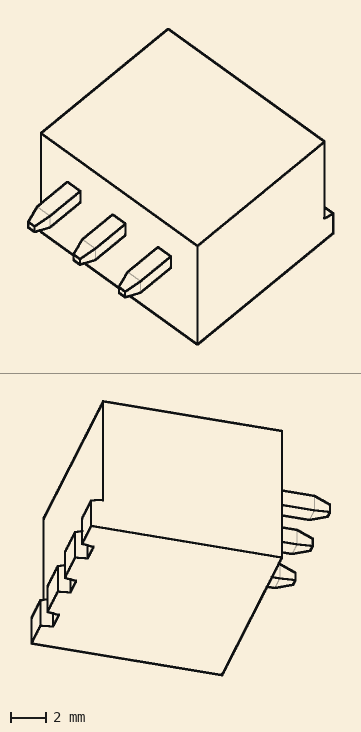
import cadquery as cq

housing_width = 12.1
housing_height = 8.7
housing_depth = 10.5

lip_length = 0.7
lip_root_height = 1.93
lip_edge_height = 1.75

pin_count = 3
pin_pitch = 3.5
pin_size = 1.0
pin_tip_size = pin_size / 2
pin_length = 3.5
pin_taper_length = 1.0
pin_shank_length = pin_length - pin_taper_length
pin_height = 5.6

notch_root_width = 1.18
notch_mouth_width = 1.41

middle_pin = pin_count // 2
pin_positions = [(i - middle_pin) * pin_pitch for i in range(pin_count)]
middle_pin_x = pin_positions[middle_pin]
outer_pin_positions = [x for x in pin_positions if x != middle_pin_x]


def make_pin(x):
    """Square pin that stands on the pin face and points along -Y."""
    pin_face = cq.Workplane("XZ", origin=(x, 0, pin_height))
    return (
        pin_face.rect(pin_size, pin_size)
        .extrude(pin_shank_length)
        .faces("<Y")
        .workplane()
        .rect(pin_size, pin_size)
        .workplane(offset=pin_taper_length)
        .rect(pin_tip_size, pin_tip_size)
        .loft(ruled=True)
    )


def make_notch(x):
    """Cutter for one lip notch, which widens towards the edge of the lip."""
    return (
        cq.Workplane("XY", origin=(x, housing_depth, 0))
        .moveTo(-notch_root_width / 2, 0)
        .lineTo(notch_root_width / 2, 0)
        .lineTo(notch_mouth_width / 2, lip_length)
        .lineTo(-notch_mouth_width / 2, lip_length)
        .close()
        .extrude(lip_root_height)
    )


def make_housing():
    """Block with the notched lip, in one piece with the middle pin."""
    lip_edge = housing_depth + lip_length
    body = (
        cq.Workplane("YZ", origin=(-housing_width / 2, 0, 0))
        .moveTo(0, 0)
        .lineTo(lip_edge, 0)
        .lineTo(lip_edge, lip_edge_height)
        .lineTo(housing_depth, lip_root_height)
        .lineTo(housing_depth, housing_height)
        .lineTo(0, housing_height)
        .close()
        .extrude(housing_width)
    )
    for x in pin_positions:
        body = body.cut(make_notch(x))
    return body.union(make_pin(middle_pin_x))


housing = make_housing()
outer_pins = [make_pin(x) for x in outer_pin_positions]

result = cq.Compound.makeCompound([housing.val(), *[pin.val() for pin in outer_pins]])